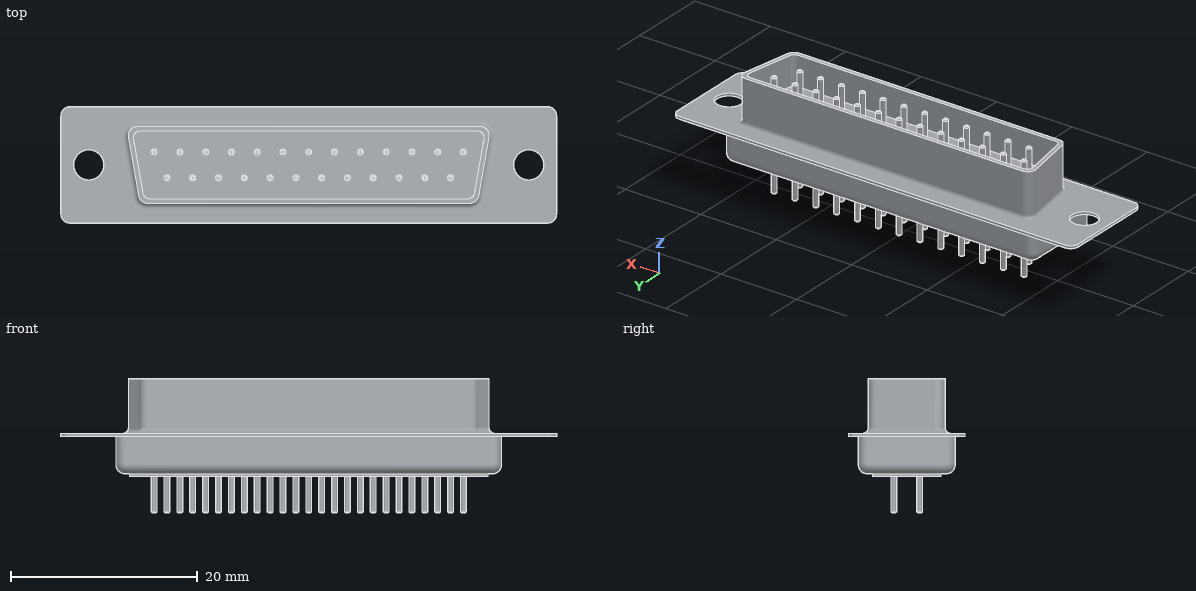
import cadquery as cq
import math

flange_length = 53.1
flange_width = 12.5
flange_thickness = 0.35
flange_corner_radius = 1.0
mount_hole_diameter = 3.2
mount_hole_spacing = 47.1

shell_top = 6.2
shell_mid_length = 37.56
shell_width = 8.25
shell_side_angle = 10.0
shell_corner_radius = 1.0
shell_wall = 0.5
cavity_corner_radius = 0.7
shell_root_radius = 0.6
cavity_floor = 2.4

housing_length = 41.3
housing_width = 10.4
housing_height = 4.0
housing_corner_radius = 1.1
housing_bottom_radius = 1.0

pad_length = 38.4
pad_width = 7.35
pad_thickness = 0.3

pin_diameter = 0.64
pin_tip_chamfer = 0.15
pin_bottom = -8.2
pin_top = 5.9
pin_pitch = 2.76
row_spacing = 2.76
back_row_count = 13
front_row_count = back_row_count - 1


def d_prism(inset, corner_radius, bottom, top):
    """D-shaped prism whose outline lies a given distance inside the shell's outer face."""
    side_angle = math.radians(shell_side_angle)
    half_width = shell_width / 2 - inset
    half_mid = shell_mid_length / 2 - inset / math.cos(side_angle)
    half_back = half_mid + half_width * math.tan(side_angle)
    half_front = half_mid - half_width * math.tan(side_angle)
    corners = [
        (-half_back, half_width),
        (half_back, half_width),
        (half_front, -half_width),
        (-half_front, -half_width),
    ]
    prism = cq.Workplane("XY").workplane(offset=bottom).polyline(corners).close().extrude(top - bottom)
    return prism.edges("|Z").fillet(corner_radius)


def make_flange_and_shell():
    """Flange plate with the shell, blended by a concave root fillet."""
    plate = cq.Workplane("XY").rect(flange_length, flange_width).extrude(flange_thickness)
    plate = plate.edges("|Z").fillet(flange_corner_radius)
    holes = (
        cq.Workplane("XY")
        .pushPoints([(-mount_hole_spacing / 2, 0), (mount_hole_spacing / 2, 0)])
        .circle(mount_hole_diameter / 2)
        .extrude(flange_thickness)
    )
    body = plate.cut(holes).union(d_prism(0, shell_corner_radius, 0, shell_top))
    root_zone = cq.selectors.BoxSelector(
        (-housing_length / 2, -housing_width / 2, flange_thickness / 2),
        (housing_length / 2, housing_width / 2, flange_thickness * 1.5),
    )
    return body.edges(root_zone).fillet(shell_root_radius)


def make_housing():
    """Rounded box under the flange."""
    box = cq.Workplane("XY").rect(housing_length, housing_width).extrude(-housing_height)
    box = box.edges("|Z").fillet(housing_corner_radius)
    return box.faces("<Z").edges().fillet(housing_bottom_radius)


def make_pad():
    """Thin plate on the underside of the housing."""
    pad = cq.Workplane("XY").workplane(offset=-housing_height).rect(pad_length, pad_width)
    return pad.extrude(-pad_thickness)


def make_pin_row(count, y):
    """One row of straight pins with chamfered tips, centred on X = 0."""
    positions = [((i - (count - 1) / 2) * pin_pitch, y) for i in range(count)]
    pins = cq.Workplane("XY").workplane(offset=pin_bottom).pushPoints(positions)
    pins = pins.circle(pin_diameter / 2).extrude(pin_top - pin_bottom)
    return pins.edges("%CIRCLE").chamfer(pin_tip_chamfer)


result = make_flange_and_shell().union(make_housing()).union(make_pad())
result = result.cut(d_prism(shell_wall, cavity_corner_radius, cavity_floor, shell_top))
result = result.union(make_pin_row(back_row_count, row_spacing / 2))
result = result.union(make_pin_row(front_row_count, -row_spacing / 2))